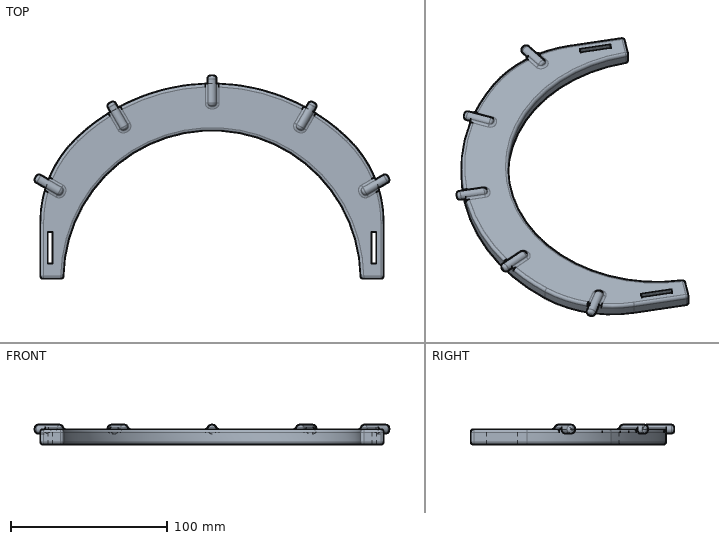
import cadquery as cq
import math

plate_thickness = 10.0
half_width = 110.0
crown_radius = 125.2
inner_radius = 95.0
shoulder_radius = 75.0
edge_fillet = 2.0

slot_width = 3.0
slot_length = 20.0
slot_bottom = 10.0
slot_offset = 103.5

peg_radius = 3.0
peg_length = 19.8
peg_tip_distance = 130.4
peg_end_fillet = 2.15
peg_root_fillet = 1.8
peg_pitch = 30
peg_angles = [peg_pitch * step for step in range(-2, 3)]

selection_margin = 0.2


def make_blank(height):
    """Sharp-edged horseshoe: crown arc, tangent shoulder arcs and straight feet."""
    shoulder_x = half_width - shoulder_radius
    shoulder_y = math.sqrt((crown_radius - shoulder_radius) ** 2 - shoulder_x ** 2)
    join_angle = math.atan2(shoulder_y, shoulder_x)
    join_x = crown_radius * math.cos(join_angle)
    join_y = crown_radius * math.sin(join_angle)
    middle_x = shoulder_x + shoulder_radius * math.cos(join_angle / 2)
    middle_y = shoulder_y + shoulder_radius * math.sin(join_angle / 2)
    return (
        cq.Workplane("XY")
        .moveTo(inner_radius, 0)
        .lineTo(half_width, 0)
        .lineTo(half_width, shoulder_y)
        .threePointArc((middle_x, middle_y), (join_x, join_y))
        .threePointArc((0, crown_radius), (-join_x, join_y))
        .threePointArc((-middle_x, middle_y), (-half_width, shoulder_y))
        .lineTo(-half_width, 0)
        .lineTo(-inner_radius, 0)
        .threePointArc((0, inner_radius), (inner_radius, 0))
        .close()
        .extrude(height)
    )


def round_edges(blank):
    """Round the upright corners of the feet, then the outlines of both faces."""
    foot_ends = cq.selectors.BoxSelector(
        (-half_width - selection_margin, -selection_margin, 0),
        (half_width + selection_margin, selection_margin, plate_thickness),
    )
    rounded_feet = blank.edges("|Z").edges(foot_ends).fillet(edge_fillet)
    return rounded_feet.faces("<Z or >Z").edges().fillet(edge_fillet)


def make_slots():
    """Rectangular strap slots, one for each foot."""
    centre_y = slot_bottom + slot_length / 2
    return (
        cq.Workplane("XY")
        .pushPoints([(-slot_offset, centre_y), (slot_offset, centre_y)])
        .rect(slot_width, slot_length)
        .extrude(plate_thickness)
    )


def make_peg():
    """Round peg with rounded ends, pointing along +Y."""
    return (
        cq.Workplane("XZ", origin=(0, peg_tip_distance, plate_thickness))
        .circle(peg_radius)
        .extrude(peg_length)
        .faces("<Y or >Y")
        .edges()
        .fillet(peg_end_fillet)
    )


def make_peg_root(peg):
    """Strip of plate around the peg, blended into it by a concave fillet.

    The strip runs past the rim; it is later trimmed to the horseshoe outline.
    """
    root_half_width = math.sqrt((peg_radius + peg_root_fillet) ** 2 - peg_root_fillet ** 2)
    peg_inner_end = peg_tip_distance - peg_length
    start = peg_inner_end - 2 * peg_root_fillet
    end = peg_tip_distance - peg_end_fillet
    peg_top = plate_thickness + peg_radius

    def block(width, bottom, top):
        return (
            cq.Workplane("XY", origin=(0, (start + end) / 2, bottom))
            .box(width, end - start, top - bottom, centered=(True, True, False))
        )

    wide_width = 4 * root_half_width
    wide_strip = block(wide_width, 0, plate_thickness)
    peg_on_strip = peg.intersect(block(wide_width, 0, peg_top))
    seam = cq.selectors.BoxSelector(
        (-root_half_width, peg_inner_end - selection_margin, plate_thickness - selection_margin),
        (root_half_width, end - selection_margin, plate_thickness + selection_margin),
    )
    blended = wide_strip.union(peg_on_strip).edges(seam).fillet(peg_root_fillet)
    root_band = block(2 * root_half_width, plate_thickness - edge_fillet, peg_top)
    return blended.intersect(root_band).cut(peg)


def turn(body, angle):
    """Turn a body about the horseshoe's axis."""
    return body.rotate((0, 0, 0), (0, 0, 1), angle)


peg = make_peg()
peg_root = make_peg_root(peg)
outline_limit = make_blank(plate_thickness + peg_radius)

horseshoe = round_edges(make_blank(plate_thickness)).cut(make_slots())
for peg_angle in peg_angles:
    trimmed_root = turn(peg_root, peg_angle).intersect(outline_limit)
    horseshoe = horseshoe.union(trimmed_root).union(turn(peg, peg_angle))

result = horseshoe.solids()